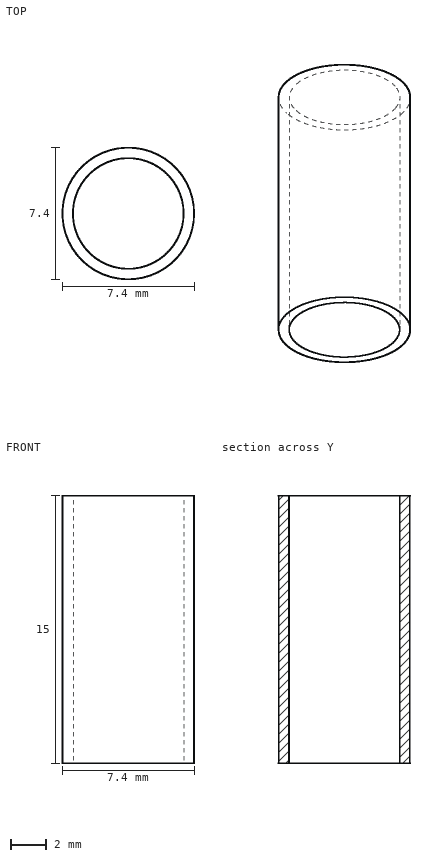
import cadquery as cq

length = 15.0
outer_diameter = 7.4
wall_thickness = 0.6
bore_diameter = outer_diameter - 2 * wall_thickness

result = (
    cq.Workplane("XY")
    .circle(outer_diameter / 2)
    .circle(bore_diameter / 2)
    .extrude(length)
)